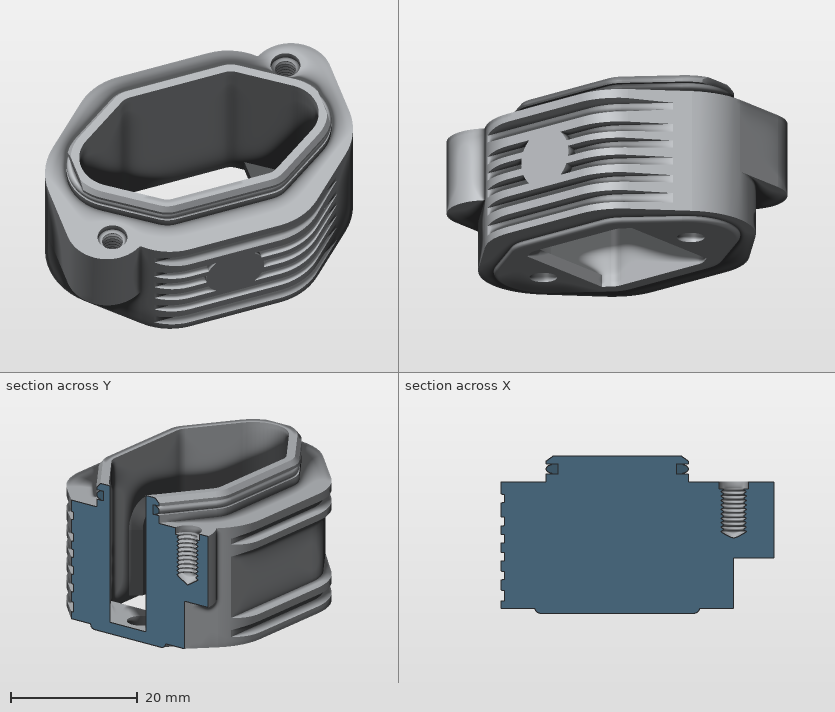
import cadquery as cq
import math

BLOCK_HALF_WIDTH = 18.0
BLOCK_HALF_STRAIGHT = 7.5
BLOCK_CORNER_RADIUS = 10.0
BLOCK_TIP = 25.0
BLOCK_ANGLE = 45.0
BLOCK_HEIGHT = 20.0

COLLAR_HALF_WIDTH = 12.6
COLLAR_HALF_STRAIGHT = 8.0
COLLAR_CORNER_RADIUS = 4.5
COLLAR_TIP = 21.6
COLLAR_ANGLE = 35.4
COLLAR_HEIGHT = 4.1
COLLAR_CHAMFER_IN = 0.65
COLLAR_CHAMFER_DOWN = 0.8
COLLAR_FLAT_Y = 20.55

LIP_OFFSET = 1.0
LIP_HEIGHT = 0.8
LIP_ROUND = 0.75

SEAL_BOTTOM = BLOCK_HEIGHT + 1.3
SEAL_HEIGHT = 1.5
SEAL_DEPTH = 1.0

WALL = 2.0
FLOOR_TOP = 1.2
WINDOW_HALF_LENGTH = 10.65
MOUNT_HOLE_Y = 15.0
MOUNT_HOLE_DIAMETER = 4.4

EAR_RADIUS = 6.5
EAR_X = 9.55
EAR_HEIGHT = 12.0
EAR_NOTCH_FILLET = 0.3

SCREW_X = 11.85
SCREW_Y = 18.35
SCREW_ENTRY_RADIUS = 2.35
SCREW_ENTRY_DEPTH = 1.1
THREAD_MINOR_RADIUS = 1.65
THREAD_MAJOR_RADIUS = 2.05
THREAD_CREST = 0.15
THREAD_PITCH = 0.7
THREAD_TURNS = 10
DRILL_TIP_ANGLE = 118.0

GRIP_DEPTH = 1.6
GRIP_OVERCUT = 0.5
LEFT_GROOVES = [
    (1.15, 1.55, 2.7, 3.1),
    (4.3, 4.75, 15.05, 15.5),
    (16.6, 17.1, 18.05, 18.65),
]
RIGHT_GROOVES = [
    (1.1, 1.3, 2.85, 3.15),
    (4.45, 4.65, 5.85, 6.15),
    (7.4, 7.6, 8.85, 9.05),
    (10.2, 10.45, 11.65, 11.9),
    (12.9, 13.15, 14.4, 14.6),
    (16.1, 16.85, 17.95, 18.65),
]

ENTRY_Z = 11.0
PAD_RADIUS = 4.8
BOSS_HEIGHT = 1.75
BOSS_TOP_RADIUS = 3.05
BOSS_BASE_RADIUS = 4.35
DIMPLE_RADIUS = 1.5
DIMPLE_DEPTH = 0.2

MARGIN = 5.0


def on_arc(center, radius, degrees):
    angle = math.radians(degrees)
    return (center[0] + radius * math.cos(angle), center[1] + radius * math.sin(angle))


def rounded_hexagon(plane_z, half_width, half_straight, corner_radius, tip, angle):
    """Hexagon with straight sides on +-X and round ends on +-Y; `angle` is the slope's normal."""
    cos_a = math.cos(math.radians(angle))
    sin_a = math.sin(math.radians(angle))
    corner = (half_width - corner_radius, half_straight)
    slope_distance = corner[0] * cos_a + corner[1] * sin_a + corner_radius
    end_center_y = (tip - slope_distance) / (1 - sin_a)
    end_radius = tip - end_center_y

    def mirrored(point, sx, sy):
        return (sx * point[0], sy * point[1])

    corner_mid = on_arc(corner, corner_radius, angle / 2)
    corner_end = on_arc(corner, corner_radius, angle)
    end_start = on_arc((0, end_center_y), end_radius, angle)
    return (
        cq.Workplane("XY", origin=(0, 0, plane_z))
        .moveTo(half_width, -half_straight)
        .lineTo(half_width, half_straight)
        .threePointArc(corner_mid, corner_end)
        .lineTo(*end_start)
        .threePointArc((0, tip), mirrored(end_start, -1, 1))
        .lineTo(*mirrored(corner_end, -1, 1))
        .threePointArc(mirrored(corner_mid, -1, 1), (-half_width, half_straight))
        .lineTo(-half_width, -half_straight)
        .threePointArc(mirrored(corner_mid, -1, -1), mirrored(corner_end, -1, -1))
        .lineTo(*mirrored(end_start, -1, -1))
        .threePointArc((0, -tip), mirrored(end_start, 1, -1))
        .lineTo(*mirrored(corner_end, 1, -1))
        .threePointArc(mirrored(corner_mid, 1, -1), (half_width, -half_straight))
        .close()
    )


def collar_outline(plane_z, offset=0.0):
    return rounded_hexagon(
        plane_z,
        COLLAR_HALF_WIDTH + offset,
        COLLAR_HALF_STRAIGHT,
        COLLAR_CORNER_RADIUS + offset,
        COLLAR_TIP + offset,
        COLLAR_ANGLE,
    )


def box_between(x0, x1, y0, y1, z0, z1):
    return cq.Workplane("XY").box(x1 - x0, y1 - y0, z1 - z0, centered=False).translate((x0, y0, z0))


def half_turn(shape):
    return shape.rotate((0, 0, 0), (0, 0, 1), 180)


def block():
    return rounded_hexagon(
        0, BLOCK_HALF_WIDTH, BLOCK_HALF_STRAIGHT, BLOCK_CORNER_RADIUS, BLOCK_TIP, BLOCK_ANGLE
    ).extrude(BLOCK_HEIGHT)


def ear():
    """Ear at the +X, -Y corner: a round lobe joined to the block's tip by a flat."""
    ear_y = EAR_RADIUS - BLOCK_TIP
    bottom = BLOCK_HEIGHT - EAR_HEIGHT
    lobe = cq.Workplane("XY", origin=(EAR_X, ear_y, bottom)).circle(EAR_RADIUS).extrude(EAR_HEIGHT)
    web = box_between(0, EAR_X, -BLOCK_TIP, ear_y, bottom, BLOCK_HEIGHT)
    return lobe.union(web)


def block_with_ears():
    body = block().union(ear()).union(half_turn(ear()))
    corner_x = BLOCK_HALF_WIDTH - BLOCK_CORNER_RADIUS
    slope_sum = corner_x + BLOCK_HALF_STRAIGHT + BLOCK_CORNER_RADIUS * math.sqrt(2)
    ear_y = BLOCK_TIP - EAR_RADIUS
    half_gap = (slope_sum - EAR_X - ear_y) / 2
    reach = half_gap + math.sqrt(EAR_RADIUS**2 / 2 - half_gap**2)
    notch_x = EAR_X + reach
    notch_y = slope_sum - notch_x
    for sign in (1, -1):
        notch = cq.selectors.NearestToPointSelector(
            (sign * notch_x, -sign * notch_y, BLOCK_HEIGHT - EAR_HEIGHT / 2)
        )
        body = body.edges("|Z").edges(notch).fillet(EAR_NOTCH_FILLET)
    return body


def collar():
    top = BLOCK_HEIGHT + COLLAR_HEIGHT
    body = (
        collar_outline(BLOCK_HEIGHT)
        .extrude(COLLAR_HEIGHT)
        .faces(">Z")
        .chamfer(COLLAR_CHAMFER_DOWN, COLLAR_CHAMFER_IN)
    )
    for y0 in (COLLAR_FLAT_Y, -COLLAR_FLAT_Y - MARGIN):
        body = body.cut(
            box_between(
                -BLOCK_HALF_WIDTH, BLOCK_HALF_WIDTH, y0, y0 + MARGIN, SEAL_BOTTOM + SEAL_HEIGHT, top
            )
        )
    return body


def seal_groove():
    outer = collar_outline(SEAL_BOTTOM, MARGIN).extrude(SEAL_HEIGHT)
    core = collar_outline(SEAL_BOTTOM, -SEAL_DEPTH).extrude(SEAL_HEIGHT)
    return outer.cut(core)


def bottom_lip():
    lip = collar_outline(-LIP_HEIGHT, LIP_OFFSET).extrude(LIP_HEIGHT)
    return lip.faces("<Z").edges().fillet(LIP_ROUND)


def pocket():
    return collar_outline(FLOOR_TOP, -WALL).extrude(BLOCK_HEIGHT + COLLAR_HEIGHT)


def floor_openings():
    """Window as wide as the pocket, and the two mounting holes."""
    depth = FLOOR_TOP + LIP_HEIGHT
    window = (
        collar_outline(-LIP_HEIGHT, -WALL)
        .extrude(depth)
        .intersect(
            box_between(
                -BLOCK_HALF_WIDTH,
                BLOCK_HALF_WIDTH,
                -WINDOW_HALF_LENGTH,
                WINDOW_HALF_LENGTH,
                -LIP_HEIGHT,
                FLOOR_TOP,
            )
        )
    )
    holes = (
        cq.Workplane("XY", origin=(0, 0, -LIP_HEIGHT))
        .pushPoints([(0, MOUNT_HOLE_Y), (0, -MOUNT_HOLE_Y)])
        .circle(MOUNT_HOLE_DIAMETER / 2)
        .extrude(depth)
    )
    return window.union(holes)


def screw_hole():
    """Revolved hole: entry bore, V-shaped thread rings and a drilled cone at the end."""
    thread_top = BLOCK_HEIGHT - SCREW_ENTRY_DEPTH
    half_groove = (THREAD_PITCH - THREAD_CREST) / 2
    points = [
        (0, BLOCK_HEIGHT),
        (SCREW_ENTRY_RADIUS, BLOCK_HEIGHT),
        (SCREW_ENTRY_RADIUS, thread_top),
        (THREAD_MINOR_RADIUS, thread_top),
    ]
    for turn in range(THREAD_TURNS):
        crest_bottom = thread_top - turn * THREAD_PITCH - THREAD_CREST
        points.append((THREAD_MINOR_RADIUS, crest_bottom))
        points.append((THREAD_MAJOR_RADIUS, crest_bottom - half_groove))
        points.append((THREAD_MINOR_RADIUS, crest_bottom - 2 * half_groove))
    thread_bottom = thread_top - THREAD_TURNS * THREAD_PITCH
    tip_depth = THREAD_MINOR_RADIUS / math.tan(math.radians(DRILL_TIP_ANGLE / 2))
    points.append((0, thread_bottom - tip_depth))
    return cq.Workplane("XZ").polyline(points).close().revolve(360, (0, 0), (0, 1))


def grip_floor_outline(plane_z, offset=0.0):
    """Outline left standing behind the -X grooves; its straight side runs out toward +Y."""
    half_width = BLOCK_HALF_WIDTH - GRIP_DEPTH + offset
    radius = COLLAR_CORNER_RADIUS + half_width - COLLAR_HALF_WIDTH
    center = (radius - half_width, -COLLAR_HALF_STRAIGHT)
    slope_start = on_arc(center, radius, 180 + COLLAR_ANGLE)
    slope_foot_y = slope_start[1] + slope_start[0] / math.tan(math.radians(COLLAR_ANGLE))
    return (
        cq.Workplane("XY", origin=(0, 0, plane_z))
        .moveTo(0, BLOCK_TIP)
        .lineTo(-half_width, BLOCK_TIP)
        .lineTo(-half_width, -COLLAR_HALF_STRAIGHT)
        .threePointArc(on_arc(center, radius, 180 + COLLAR_ANGLE / 2), slope_start)
        .lineTo(0, slope_foot_y)
        .close()
    )


def grip_flank(floor_z, outer_z):
    """Solid between the groove floor and its outer edge, extended past the block's side."""
    reach = GRIP_DEPTH + GRIP_OVERCUT
    far_z = floor_z + (outer_z - floor_z) * reach / GRIP_DEPTH
    lower = grip_floor_outline(floor_z).wires().val()
    upper = grip_floor_outline(far_z, reach).wires().val()
    return cq.Workplane(cq.Solid.makeLoft([lower, upper], True))


def grip_groove(outer_bottom, floor_bottom, floor_top, outer_top):
    reach = GRIP_DEPTH + GRIP_OVERCUT
    stretch = reach / GRIP_DEPTH
    bottom = floor_bottom - (floor_bottom - outer_bottom) * stretch
    top = floor_top + (outer_top - floor_top) * stretch
    side = grip_floor_outline(bottom, reach).extrude(top - bottom)
    core = grip_floor_outline(floor_bottom).extrude(floor_top - floor_bottom)
    return side.cut(core).cut(grip_flank(floor_bottom, outer_bottom)).cut(grip_flank(floor_top, outer_top))


def entry_pad():
    """Round pad that interrupts the +X grooves, flush with the block's side."""
    return (
        cq.Workplane("YZ", origin=(BLOCK_HALF_WIDTH - GRIP_DEPTH, 0, ENTRY_Z))
        .circle(PAD_RADIUS)
        .extrude(GRIP_DEPTH)
    )


def boss_section(x, radius):
    return (
        cq.Workplane("YZ", origin=(x, 0, 0))
        .moveTo(-radius, 0)
        .lineTo(radius, 0)
        .lineTo(radius, ENTRY_Z)
        .threePointArc((0, ENTRY_Z + radius), (-radius, ENTRY_Z))
        .close()
        .wires()
        .val()
    )


def entry_boss():
    """Tapered boss on the inside of the +X wall, round on top and straight down to the bottom."""
    wall_x = COLLAR_HALF_WIDTH - WALL
    face_x = wall_x - BOSS_HEIGHT
    sections = [boss_section(wall_x, BOSS_BASE_RADIUS), boss_section(face_x, BOSS_TOP_RADIUS)]
    dimple = cq.Workplane("YZ", origin=(face_x, 0, ENTRY_Z)).circle(DIMPLE_RADIUS).extrude(DIMPLE_DEPTH)
    return cq.Workplane(cq.Solid.makeLoft(sections, True)).cut(dimple)


def make_housing():
    body = block_with_ears()
    for heights in LEFT_GROOVES:
        body = body.cut(grip_groove(*heights))
    for heights in RIGHT_GROOVES:
        body = body.cut(half_turn(grip_groove(*heights)))
    body = body.union(entry_pad()).union(collar()).union(bottom_lip())
    body = body.cut(seal_groove()).cut(pocket()).cut(floor_openings())
    body = body.union(entry_boss())
    for sign in (1, -1):
        body = body.cut(screw_hole().translate((sign * SCREW_X, -sign * SCREW_Y, 0)))
    return body


def make_seal_ring():
    """Ring that fills the collar's groove: flat at the back, half round on the outside."""
    round_radius = SEAL_HEIGHT / 2
    middle_z = SEAL_BOTTOM + round_radius
    path = collar_outline(middle_z, -round_radius)
    start = (COLLAR_HALF_WIDTH - round_radius, -COLLAR_HALF_STRAIGHT, middle_z)
    back = round_radius - SEAL_DEPTH
    section = (
        cq.Workplane("XZ", origin=start)
        .moveTo(back, -round_radius)
        .lineTo(0, -round_radius)
        .threePointArc((round_radius, 0), (0, round_radius))
        .lineTo(back, round_radius)
        .close()
    )
    return section.sweep(path)


housing = make_housing()
seal_ring = make_seal_ring()

result = cq.Compound.makeCompound([housing.val(), seal_ring.val()])